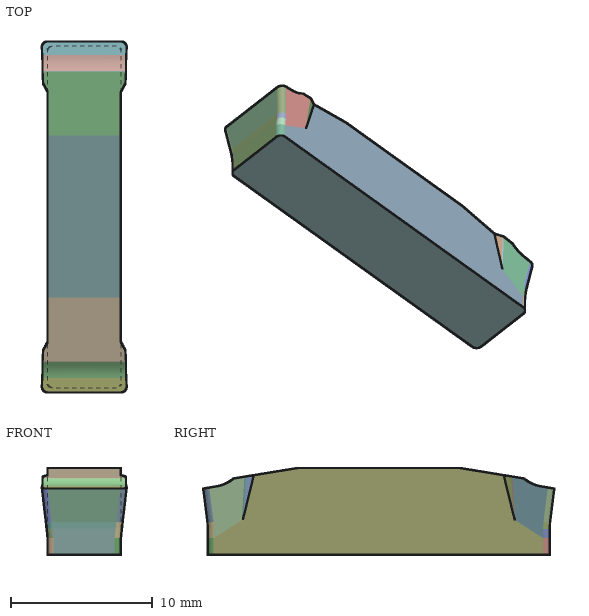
import cadquery as cq
import math


def slope(angle):
    """Rise per unit run at an angle in degrees."""
    return math.tan(math.radians(angle))



LENGTH = 24.76
HEIGHT = 6.14
SHANK_WIDTH = 5.18
HALF_LENGTH = LENGTH / 2
HALF_SHANK = SHANK_WIDTH / 2

CUTTING_EDGE_Z = 4.68
END_CLEARANCE = 7.15
END_BREAK_Z = 2.08
END_BREAK_RADIUS = 3.6
END_Y = HALF_LENGTH - (CUTTING_EDGE_Z - END_BREAK_Z) * slope(END_CLEARANCE)
FLAT_TOP_LENGTH = 11.42
TOP_SLOPE = 9.3
LIP_Y = 10.23
LIP_RADIUS = 0.15
RAKE_ANGLE = 10.0
RAKE_LENGTH = 1.0

FLANK_CLEARANCE = 6.15
FLANK_BACK_TAPER = 3.95
FLANK_FOOT_Y = 9.58
FLANK_FOOT_Z = 2.47
FLARE_ANGLE = 29.0
FLARE_LEAN = 13.8
FLARE_RADIUS = 0.2
CORNER_RADIUS = 0.43

STOCK_HALF_WIDTH = 4.0
CUTTER_SIZE = 60.0


def make_profile_bar(half_width):
    """Full-length bar with the side outline of the insert."""
    flat_y = FLAT_TOP_LENGTH / 2
    lip_z = HEIGHT - (LIP_Y - flat_y) * slope(TOP_SLOPE)
    groove_y = HALF_LENGTH - RAKE_LENGTH
    groove_z = CUTTING_EDGE_Z + RAKE_LENGTH * slope(RAKE_ANGLE)

    half = (
        cq.Workplane("YZ")
        .moveTo(0, 0)
        .lineTo(END_Y, 0)
        .lineTo(END_Y, END_BREAK_Z)
        .lineTo(HALF_LENGTH, CUTTING_EDGE_Z)
        .lineTo(groove_y, groove_z)
        .tangentArcPoint((LIP_Y, lip_z), relative=False)
        .lineTo(flat_y, HEIGHT)
        .lineTo(0, HEIGHT)
        .close()
        .extrude(half_width, both=True)
    )
    end_break = cq.NearestToPointSelector((0, END_Y, END_BREAK_Z))
    half = half.edges(end_break).fillet(END_BREAK_RADIUS)
    lip = cq.NearestToPointSelector((0, LIP_Y, lip_z))
    half = half.edges(lip).fillet(LIP_RADIUS)
    return half.union(half.mirror("XZ"))


def half_space(normal):
    """Everything on the normal's side of a plane through the flank foot on the +X side."""
    foot = (HALF_SHANK, FLANK_FOOT_Y, FLANK_FOOT_Z)
    plane = cq.Plane(origin=foot, xDir=cq.Vector(0, 1, 0).cross(cq.Vector(*normal)), normal=normal)
    return cq.Workplane(plane).rect(CUTTER_SIZE, CUTTER_SIZE).extrude(CUTTER_SIZE)


def make_head():
    """Wide bar whose +Y end is trimmed to a head by its flanks and flares."""
    flank = half_space((1, -slope(FLANK_BACK_TAPER), -slope(FLANK_CLEARANCE)))
    flare = half_space((1 / slope(FLARE_ANGLE), -1, -slope(FLARE_LEAN)))
    head = make_profile_bar(STOCK_HALF_WIDTH)
    for cutter in (flank, flare):
        head = head.cut(cutter).cut(cutter.mirror("YZ"))

    for side in (-1, 1):
        foot = (side * HALF_SHANK, FLANK_FOOT_Y, FLANK_FOOT_Z)
        head = head.edges(cq.NearestToPointSelector(foot)).fillet(FLARE_RADIUS)
    return head


def round_end_corners(part):
    """Round the four upright corners, from the underside to the cutting edges."""
    for end in (-1, 1):
        for side in (-1, 1):
            inner = (side * HALF_SHANK / 2, end * (END_Y - CORNER_RADIUS), 0)
            outer = (side * STOCK_HALF_WIDTH, end * LENGTH, CUTTING_EDGE_Z)
            corner_edges = part.edges(cq.selectors.BoxSelector(inner, outer))
            part = corner_edges.fillet(CORNER_RADIUS)
    return part


shank = make_profile_bar(HALF_SHANK)
head = make_head()
insert = shank.union(head).union(head.mirror("XZ"))
result = round_end_corners(insert)